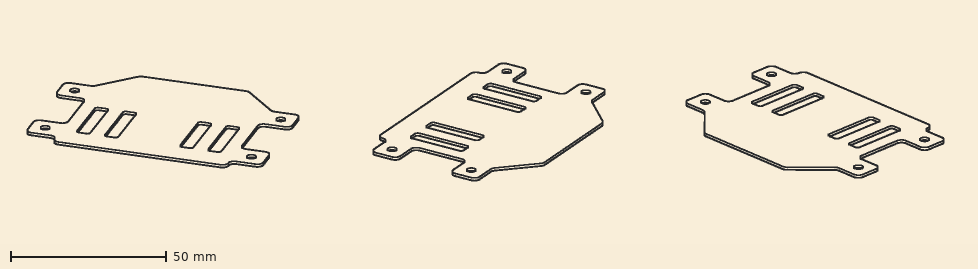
import cadquery as cq
import math

thickness = 1.0
overall_width = 80.0
overall_length = 56.0
body_width = 59.0
front_straight_width = 35.0
corner_radius = 2.0

tab_length = 10.0
rear_tab_start = 4.0
tab_pitch = 30.0
hole_diameter = 3.0
hole_edge_distance = tab_length / 2

slot_width = 4.5
slot_length = 20.0
slot_start = 9.0
slot_corner_radius = 1.0
inner_slot_offset = 12.75
slot_pitch = 9.5

half_width = overall_width / 2
half_body = body_width / 2
rear_tab_end = rear_tab_start + tab_length
front_tab_start = rear_tab_start + tab_pitch
front_tab_end = front_tab_start + tab_length
cut_angle = math.radians(45)
cut_tangent_length = corner_radius * math.tan(cut_angle / 2)
front_half_edge = front_straight_width / 2 + cut_tangent_length
cut_foot = front_half_edge + (overall_length - front_tab_end) / math.tan(cut_angle)


def outline_corners():
    """Sharp corners of the plate, counter-clockwise from the rear right."""
    right = [
        (half_body, 0),
        (half_body, rear_tab_start),
        (half_width, rear_tab_start),
        (half_width, rear_tab_end),
        (half_body, rear_tab_end),
        (half_body, front_tab_start),
        (half_width, front_tab_start),
        (half_width, front_tab_end),
        (cut_foot, front_tab_end),
        (front_half_edge, overall_length),
    ]
    left = [(-x, y) for x, y in reversed(right)]
    return right + left


def corner_arc(before, corner, after, radius):
    """Start, middle and end of the arc that rounds one corner."""
    corner = cq.Vector(*corner)
    to_before = (cq.Vector(*before) - corner).normalized()
    to_after = (cq.Vector(*after) - corner).normalized()
    half_angle = to_before.getAngle(to_after) / 2
    tangent_length = radius / math.tan(half_angle)
    apex_distance = radius / math.sin(half_angle) - radius
    start = corner + to_before * tangent_length
    middle = corner + (to_before + to_after).normalized() * apex_distance
    end = corner + to_after * tangent_length
    return start, middle, end


def rounded_plate():
    """Plate blank with every outline corner rounded.

    Behind the rear tabs the two roundings meet with no straight between them.
    """
    corners = outline_corners()
    count = len(corners)
    arcs = [
        corner_arc(corners[i - 1], corners[i], corners[(i + 1) % count], corner_radius)
        for i in range(count)
    ]
    shortest_straight = 1e-6
    edges = []
    for i, (start, middle, end) in enumerate(arcs):
        edges.append(cq.Edge.makeThreePointArc(start, middle, end))
        next_start = arcs[(i + 1) % count][0]
        if (next_start - end).Length > shortest_straight:
            edges.append(cq.Edge.makeLine(end, next_start))
    outline = cq.Wire.assembleEdges(edges)
    return cq.Workplane("XY").add(outline).toPending().extrude(thickness)


def tab_holes():
    hole_x = half_width - hole_edge_distance
    rear_hole_y = rear_tab_start + tab_length / 2
    centres = [
        (side * hole_x, hole_y)
        for side in (-1, 1)
        for hole_y in (rear_hole_y, rear_hole_y + tab_pitch)
    ]
    return cq.Workplane("XY").pushPoints(centres).circle(hole_diameter / 2).extrude(thickness)


def strap_slots():
    slot_y = slot_start + slot_length / 2
    centres = [
        (side * slot_x, slot_y)
        for side in (-1, 1)
        for slot_x in (inner_slot_offset, inner_slot_offset + slot_pitch)
    ]
    slots = cq.Workplane("XY").pushPoints(centres).rect(slot_width, slot_length).extrude(thickness)
    return slots.edges("|Z").fillet(slot_corner_radius)


result = rounded_plate().cut(tab_holes()).cut(strap_slots())